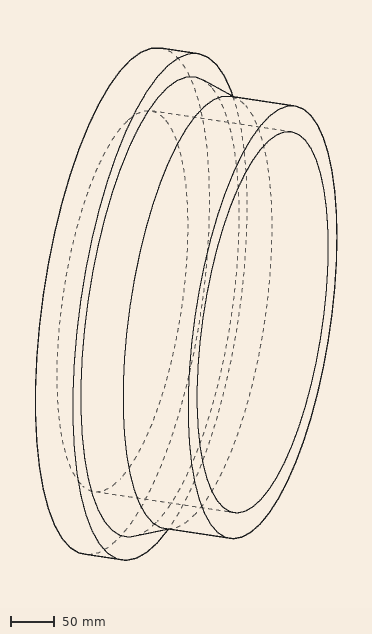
import cadquery as cq

total_length = 170.0
flange_thickness = 45.5
hub_length = 45.5
flange_diameter = 585.0
hub_base_diameter = 531.0
tube_diameter = 499.5
bore_diameter = 440.0

flange_radius = flange_diameter / 2
hub_base_radius = hub_base_diameter / 2
tube_radius = tube_diameter / 2
bore_radius = bore_diameter / 2
hub_end = flange_thickness + hub_length

half_section = (
    cq.Workplane("XY")
    .moveTo(0, bore_radius)
    .lineTo(0, flange_radius)
    .lineTo(flange_thickness, flange_radius)
    .lineTo(flange_thickness, hub_base_radius)
    .lineTo(hub_end, tube_radius)
    .lineTo(total_length, tube_radius)
    .lineTo(total_length, bore_radius)
    .close()
)

result = half_section.revolve(360, (0, 0, 0), (1, 0, 0))